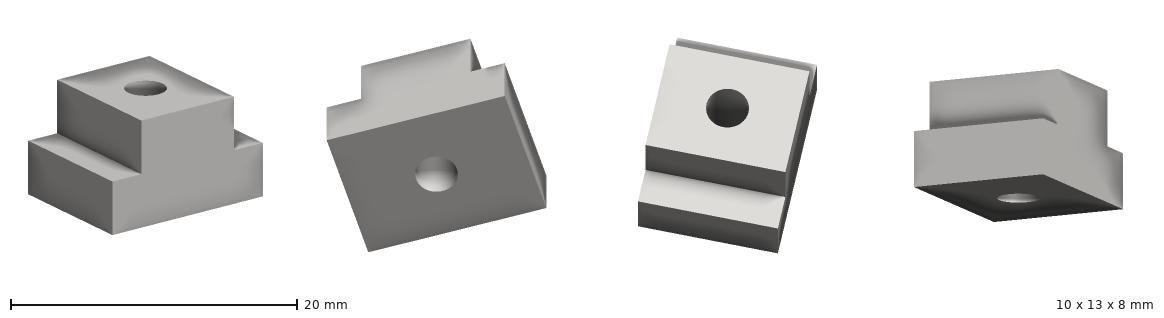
import cadquery as cq

length = 10.0
base_width = 13.0
neck_width = 8.0
total_height = 8.0
base_height = total_height / 2
neck_height = total_height - base_height
hole_diameter = 3.0


def make_base():
    """Wide flange resting on Z = 0."""
    return cq.Workplane("XY").box(length, base_width, base_height, centered=(True, True, False))


def add_neck(body):
    """Narrower block centred on top of the base, full length in X."""
    neck = (
        cq.Workplane("XY")
        .workplane(offset=base_height)
        .box(length, neck_width, neck_height, centered=(True, True, False))
    )
    return body.union(neck)


def cut_hole(body):
    """Vertical through hole at the centre."""
    return body.faces(">Z").workplane(origin=(0, 0, total_height)).hole(hole_diameter)


result = cut_hole(add_neck(make_base()).clean())